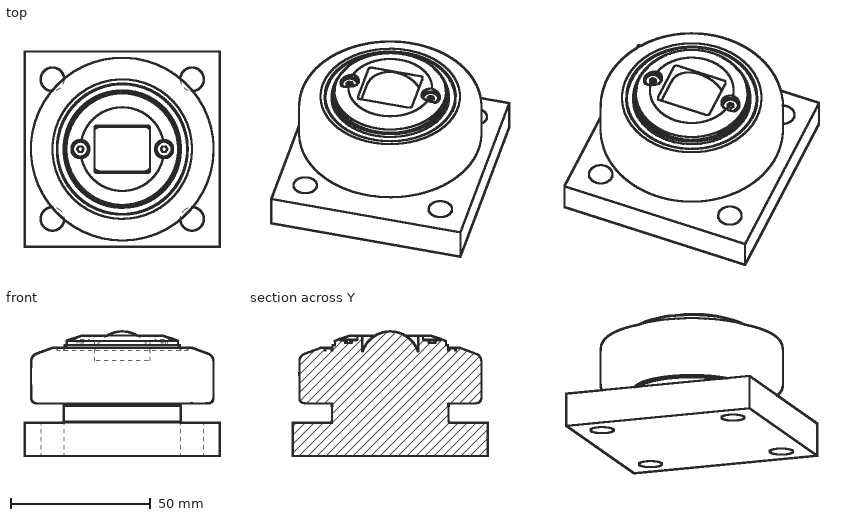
import cadquery as cq
import math

PLATE_SIDE = 70.0
PLATE_THICKNESS = 12.0
BOLT_HOLE_DIAMETER = 8.38
BOLT_HOLE_SPACING = 50.0

FOOT_RADIUS = 42.1 / 2
FOOT_HEIGHT = 0.3
FOOT_TOP = PLATE_THICKNESS + FOOT_HEIGHT
STEM_RADIUS = 42.0 / 2
STEM_TOP = 18.0
NECK_RADIUS = 41.5 / 2
NECK_TOP = 18.6

WHEEL_RADIUS = 65.5 / 2
WHEEL_BOTTOM = 18.8
WHEEL_WIDTH = 20.0
WHEEL_TOP = WHEEL_BOTTOM + WHEEL_WIDTH
WHEEL_FACE_RADIUS = 25.0
WHEEL_TOP_FILLET = 3.0
WHEEL_BOTTOM_FILLET = 2.0

SEAL_BORE_RADIUS = 47.0 / 2
SEAL_OUTER_RADIUS = 46.5 / 2
SEAL_INNER_RADIUS = 42.1 / 2
SEAL_RECESS = 0.2
SEAL_HEIGHT = 0.8
SEAL_TOP = WHEEL_TOP - SEAL_RECESS
SEAL_GAP_FLOOR = SEAL_TOP - SEAL_HEIGHT

CROWN_RADIUS = 500.0

CONE_ANGLE = math.radians(20)

COLLAR_RADIUS = 41.5 / 2
COLLAR_TOP = 39.7
COVER_RADIUS = 40.0 / 2
COVER_FACE_RADIUS = 30.0 / 2
COVER_TOP = 43.1

ROLLER_TOP = 44.7
ROLLER_RADIUS = 10.5
ROLLER_WIDTH = 16.0
ROLLER_FILLET = 2.5
POCKET_LENGTH = 20.0
POCKET_WIDTH = 17.0
POCKET_CORNER_RADIUS = 1.0
POCKET_FLOOR = ROLLER_TOP - ROLLER_RADIUS

SCREW_SPACING = 30.0
SCREW_HOLE_DIAMETER = 6.5
SCREW_HEAD_TOP = 41.5
SCREW_HEAD_DIAMETER = 5.35
SCREW_SEAT_HEIGHT = 0.3
SOCKET_ACROSS_CORNERS = 2.3
SOCKET_DEPTH = 1.0


def cylinder(radius, bottom, top):
    return cq.Workplane("XY").workplane(offset=bottom).circle(radius).extrude(top - bottom)


def crown_height(width):
    return CROWN_RADIUS - math.sqrt(CROWN_RADIUS**2 - (width / 2) ** 2)


def make_plate():
    return (
        cq.Workplane("XY")
        .rect(PLATE_SIDE, PLATE_SIDE)
        .extrude(PLATE_THICKNESS)
        .faces(">Z")
        .workplane()
        .rect(BOLT_HOLE_SPACING, BOLT_HOLE_SPACING, forConstruction=True)
        .vertices()
        .hole(BOLT_HOLE_DIAMETER)
    )


def make_stem():
    foot = cylinder(FOOT_RADIUS, PLATE_THICKNESS, FOOT_TOP)
    barrel = cylinder(STEM_RADIUS, FOOT_TOP, STEM_TOP)
    neck = cylinder(NECK_RADIUS, STEM_TOP, NECK_TOP)
    spacer = cylinder(STEM_RADIUS, NECK_TOP, WHEEL_BOTTOM)
    return foot.union(barrel).union(neck).union(spacer)


def make_wheel():
    shoulder = WHEEL_TOP - (WHEEL_RADIUS - WHEEL_FACE_RADIUS) * math.tan(CONE_ANGLE)
    edge_radius = WHEEL_RADIUS - crown_height(shoulder - WHEEL_BOTTOM)
    blank = (
        cq.Workplane("XZ")
        .moveTo(0, WHEEL_BOTTOM)
        .lineTo(edge_radius, WHEEL_BOTTOM)
        .threePointArc((WHEEL_RADIUS, (WHEEL_BOTTOM + shoulder) / 2), (edge_radius, shoulder))
        .lineTo(WHEEL_FACE_RADIUS, WHEEL_TOP)
        .lineTo(0, WHEEL_TOP)
        .close()
        .revolve(360, (0, 0, 0), (0, 1, 0))
    )
    rounded = blank.edges(">>Z[-3]").fillet(WHEEL_TOP_FILLET)
    rounded = rounded.faces("<Z").edges().fillet(WHEEL_BOTTOM_FILLET)
    return rounded.cut(cylinder(SEAL_BORE_RADIUS, SEAL_GAP_FLOOR, WHEEL_TOP))


def make_seal():
    ring = cylinder(SEAL_OUTER_RADIUS, SEAL_GAP_FLOOR, SEAL_TOP)
    return ring.cut(cylinder(SEAL_INNER_RADIUS, SEAL_GAP_FLOOR, SEAL_TOP))


def make_cover():
    shoulder = COVER_TOP - (COVER_RADIUS - COVER_FACE_RADIUS) * math.tan(CONE_ANGLE)
    return (
        cq.Workplane("XZ")
        .moveTo(0, SEAL_GAP_FLOOR)
        .lineTo(COLLAR_RADIUS, SEAL_GAP_FLOOR)
        .lineTo(COLLAR_RADIUS, COLLAR_TOP)
        .lineTo(COVER_RADIUS, COLLAR_TOP)
        .lineTo(COVER_RADIUS, shoulder)
        .lineTo(COVER_FACE_RADIUS, COVER_TOP)
        .lineTo(0, COVER_TOP)
        .close()
        .revolve(360, (0, 0, 0), (0, 1, 0))
    )


def make_pocket():
    return (
        cq.Workplane("XY")
        .workplane(offset=POCKET_FLOOR)
        .rect(POCKET_LENGTH, POCKET_WIDTH)
        .extrude(COVER_TOP - POCKET_FLOOR)
        .edges("|Z")
        .fillet(POCKET_CORNER_RADIUS)
    )


def make_roller():
    half_width = ROLLER_WIDTH / 2
    edge_radius = ROLLER_RADIUS - crown_height(ROLLER_WIDTH)
    return (
        cq.Workplane("XY")
        .moveTo(0, -half_width)
        .lineTo(edge_radius, -half_width)
        .threePointArc((ROLLER_RADIUS, 0), (edge_radius, half_width))
        .lineTo(0, half_width)
        .close()
        .revolve(360, (0, 0, 0), (0, 1, 0))
        .faces("<Y or >Y")
        .edges()
        .fillet(ROLLER_FILLET)
        .translate((0, 0, ROLLER_TOP - ROLLER_RADIUS))
    )


def make_screw_recess(x):
    seat_top = SCREW_HEAD_TOP + SCREW_SEAT_HEIGHT
    counterbore = cylinder(SCREW_HOLE_DIAMETER / 2, seat_top, COVER_TOP)
    seat = (
        cq.Workplane("XY")
        .workplane(offset=SCREW_HEAD_TOP)
        .circle(SCREW_HEAD_DIAMETER / 2)
        .workplane(offset=SCREW_SEAT_HEIGHT)
        .circle(SCREW_HOLE_DIAMETER / 2)
        .loft(ruled=True)
    )
    socket = (
        cq.Workplane("XY")
        .workplane(offset=SCREW_HEAD_TOP - SOCKET_DEPTH)
        .polygon(6, SOCKET_ACROSS_CORNERS)
        .extrude(SOCKET_DEPTH)
    )
    return counterbore.union(seat).union(socket).translate((x, 0, 0))


result = make_plate().union(make_stem()).union(make_wheel()).union(make_seal()).union(make_cover())
result = result.cut(make_pocket()).union(make_roller())
for screw_x in (-SCREW_SPACING / 2, SCREW_SPACING / 2):
    result = result.cut(make_screw_recess(screw_x))